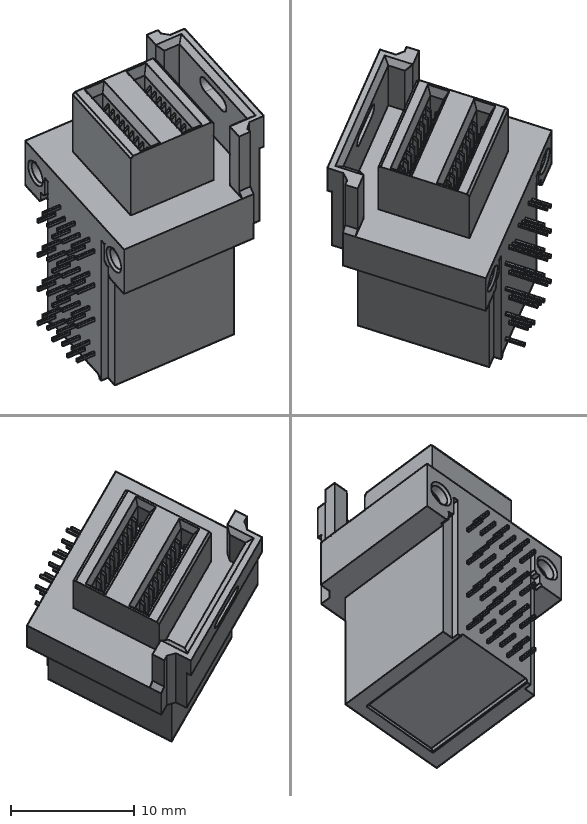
import cadquery as cq


block_width = 15.15
block_bottom = 12.47
block_top = 17.42
block_back = 12.38

overall_height = 23.97
wall_front = 11.3
wall_back = 13.9
wall_width = 14.14
wall_foot_chamfer = 0.43
spine_width = 12.14
spine_corner = 0.54
lip_back = 14.3
lip_bottom = 20.54

bay_width = 10.34
bay_back = 13.25
bay_chamfer = 0.5
window_length = 4.0
window_height = 1.43
window_z = 22.03

tongue_width = 8.9
tongue_front = 2.6
tongue_back = 10.5
tongue_chamfer = 0.22
slot_centers_y = (4.56, 8.56)
mouth_length = 8.56
mouth_width = 1.86
lead_in = 0.36
lead_in_depth = 0.93
slot_depth = 5.5

body_width = 10.3
body_front = 0.64
body_back = 12.02
panel_width = 8.2
groove_outer_width = 9.1
groove_top = 15.63
relief_top = 13.55
relief_fillet = 0.2
recess_width = 7.5
recess_height = 0.38
recess_chamfer = 0.2
recess_back = 11.0

hole_spacing = 12.0
hole_z = 15.03
hole_diameter = 1.82
hole_mouth_diameter = 2.26
hole_depth = 1.0

contact_pitch = 0.75
contact_count = 9
contact_width = 0.22
contact_height = 0.38
contact_drop = 0.5
pin_width = 0.2
pin_height = 0.28
pin_length = 1.64
pin_group_count = 4
pin_group_pitch = 3.81
pin_row_pitch = 0.69
lowest_pin_z = 1.5
pins_per_row = 3
row_first_columns = (0, 2, 1)

embed = 0.5


def box(width, y0, y1, z0, z1, x=0):
    """Block centred on x, spanning y0..y1 and z0..z1."""
    block = cq.Workplane("XY").box(width, y1 - y0, z1 - z0, centered=(True, False, False))
    return block.translate((x, y0, z0))


def contact_x(index):
    """X position of a contact column, counted from the -X side."""
    return (index - (contact_count - 1) / 2) * contact_pitch


def make_block():
    """Flange block and back wall, with cut corners down to the narrower spine."""
    spine_shoulder = spine_width + 2 * spine_corner
    outline = [
        (block_width / 2, 0),
        (block_width / 2, block_back),
        (spine_shoulder / 2, block_back),
        (spine_width / 2, block_back + spine_corner),
        (spine_width / 2, wall_back),
    ]
    mirrored = [(-x, y) for x, y in reversed(outline)]
    block = cq.Workplane("XY").polyline(outline + mirrored).close().extrude(overall_height)
    block = block.cut(box(block_width, 0, wall_front, block_top, overall_height))
    return block.cut(box(block_width, 0, lip_back, 0, block_bottom))


def trim_wall_sides(part):
    """Narrow the wall above the block, leaving a sloped foot on each side."""
    foot_top = block_top + wall_foot_chamfer
    for side in (-1, 1):
        outline = [
            (side * block_width / 2, block_top),
            (side * wall_width / 2, foot_top),
            (side * wall_width / 2, overall_height),
            (side * block_width, overall_height),
            (side * block_width, block_top),
        ]
        trim = cq.Workplane("XZ").polyline(outline).close().extrude(-lip_back)
        part = part.cut(trim)
    return part


def make_bay():
    """Bay cut into the back wall, bevelled along its top and front side edges."""
    bay = box(bay_width, wall_front, bay_back, block_top, overall_height)
    rim_width = bay_width + 2 * bay_chamfer
    rim = (
        cq.Workplane("XY", origin=(0, 0, overall_height))
        .center(0, wall_front)
        .rect(rim_width, 2 * (bay_back + bay_chamfer - wall_front))
        .workplane(offset=-bay_chamfer)
        .rect(bay_width, 2 * (bay_back - wall_front))
        .loft(ruled=True)
    )
    mouth_outline = [
        (-rim_width / 2, wall_front),
        (rim_width / 2, wall_front),
        (bay_width / 2, wall_front + bay_chamfer),
        (-bay_width / 2, wall_front + bay_chamfer),
    ]
    mouth = (
        cq.Workplane("XY", origin=(0, 0, block_top))
        .polyline(mouth_outline)
        .close()
        .extrude(overall_height - block_top)
    )
    rim = rim.intersect(box(block_width, wall_front, lip_back, block_top, overall_height))
    return bay.union(mouth).union(rim)


def make_window():
    """Rounded slot through the back wall."""
    return (
        cq.Workplane("XZ", origin=(0, wall_front, window_z))
        .slot2D(window_length, window_height)
        .extrude(-(lip_back - wall_front))
    )


def make_tongue():
    """Tongue standing on the block."""
    tongue = box(tongue_width, tongue_front, tongue_back, block_top, overall_height)
    return tongue.faces(">Z").edges("|X").chamfer(tongue_chamfer)


def make_card_slot(center_y):
    """Slot volume with a tapered mouth, less the two rows of contacts left standing in it."""
    slot_length = mouth_length - 2 * lead_in
    slot_width = mouth_width - 2 * lead_in
    mouth = (
        cq.Workplane("XY", origin=(0, center_y, overall_height))
        .rect(mouth_length, mouth_width)
        .workplane(offset=-lead_in_depth)
        .rect(slot_length, slot_width)
        .loft(ruled=True)
    )
    well = box(
        slot_length,
        center_y - slot_width / 2,
        center_y + slot_width / 2,
        overall_height - slot_depth,
        overall_height - lead_in_depth,
    )
    slot = well.union(mouth)
    tip_z = overall_height - lead_in_depth - contact_drop
    bottom_z = overall_height - slot_depth
    for side in (-1, 1):
        wall_y = center_y + side * slot_width / 2
        nose_y = wall_y - side * contact_height
        profile = [
            (wall_y, bottom_z),
            (wall_y, tip_z),
            (nose_y, tip_z - contact_height),
            (nose_y, bottom_z),
        ]
        for index in range(contact_count):
            contact = (
                cq.Workplane("YZ", origin=(contact_x(index), 0, 0))
                .polyline(profile)
                .close()
                .extrude(contact_width / 2, both=True)
            )
            slot = slot.cut(contact)
    return slot


def make_body():
    """Lower body with its front panel flush with the block."""
    return box(body_width, body_front, body_back, 0, block_bottom).union(
        box(panel_width, 0, body_front, 0, block_bottom)
    )


def make_side_relief(side):
    """Groove beside the front panel, widening at the bottom of the block, with rounded corners."""
    panel_x = side * panel_width / 2
    groove_x = side * groove_outer_width / 2
    body_x = side * body_width / 2
    outside_x = body_x + side * relief_fillet
    relief = (
        cq.Workplane("XZ")
        .moveTo(panel_x, block_bottom)
        .lineTo(panel_x, groove_top)
        .lineTo(groove_x, groove_top)
        .lineTo(groove_x, relief_top + relief_fillet)
        .radiusArc((groove_x + side * relief_fillet, relief_top), side * relief_fillet)
        .lineTo(body_x, relief_top)
        .lineTo(body_x, block_bottom + relief_fillet)
        .radiusArc((outside_x, block_bottom), side * relief_fillet)
        .close()
    )
    return relief.extrude(-body_front)


def make_bottom_recess():
    """Shallow recess under the body, open at the front."""
    recess = box(recess_width, 0, recess_back, 0, recess_height)
    return recess.faces(">Z").edges("|Y").chamfer(recess_chamfer)


def make_mounting_hole(side):
    """Countersunk blind hole in the front face."""
    countersink = (hole_mouth_diameter - hole_diameter) / 2
    hole_radius = hole_diameter / 2
    profile = [
        (0, 0),
        (hole_mouth_diameter / 2, 0),
        (hole_radius, countersink),
        (hole_radius, hole_depth),
        (0, hole_depth),
    ]
    hole = cq.Workplane("XY").polyline(profile).close().revolve(360, (0, 0), (0, 1))
    return hole.translate((side * hole_spacing / 2, 0, hole_z))


def add_pins(part):
    """Groups of three staggered pin rows pointing out of the front panel."""
    for group in range(pin_group_count):
        for row, first in enumerate(row_first_columns):
            z = lowest_pin_z + group * pin_group_pitch + row * pin_row_pitch
            for column in range(pins_per_row):
                x = contact_x(first + column * pins_per_row)
                pin = box(pin_width, -pin_length, embed, z - pin_height / 2, z + pin_height / 2, x)
                part = part.union(pin)
    return part


part = make_block()
part = trim_wall_sides(part)
part = part.union(box(spine_width, wall_back, lip_back, lip_bottom, overall_height))
part = part.cut(make_bay())
part = part.cut(make_window())
part = part.union(make_tongue())
for slot_y in slot_centers_y:
    part = part.cut(make_card_slot(slot_y))
part = part.union(make_body())
for side in (-1, 1):
    part = part.cut(make_side_relief(side))
    part = part.cut(make_mounting_hole(side))
part = part.cut(make_bottom_recess())
result = add_pins(part)